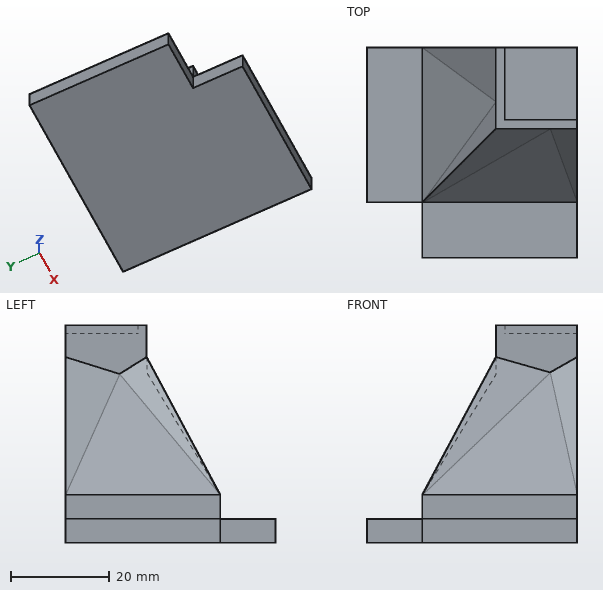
import cadquery as cq


total_height = 44.35
course_height = 4.88
rail_height = 1.6
taper_bottom = 2 * course_height
taper_top = total_height - rail_height - course_height

overall_width = 42.85
tower_width = 31.6
cap_width = 16.6
rail_thickness = 1.8
pad_projection = overall_width - tower_width

front_dent_drop = 3.15
left_dent_drop = 3.45
front_dent_offset = cap_width / 3
left_dent_offset = cap_width * 2 / 3


def corner_block(size_x, size_y, height, base_z, shift_x=0, shift_y=0):
    """Box reaching towards -X and -Y from the point (-shift_x, -shift_y)."""
    return (
        cq.Workplane("XY")
        .box(size_x, size_y, height, centered=False)
        .translate((-size_x - shift_x, -size_y - shift_y, base_z))
    )


def square_corners(width, z):
    """Corners of a square level: back right, back left, front left, front right."""
    return [(0, 0, z), (-width, 0, z), (-width, -width, z), (0, -width, z)]


def polygon_face(points):
    wire = cq.Wire.makePolygon([cq.Vector(*point) for point in points], close=True)
    return cq.Face.makeFromWires(wire)


def edges_of(points):
    """Pairs of neighbouring points round a closed outline."""
    return list(zip(points, points[1:] + points[:1]))


def dented_side(outline, dent):
    """Triangles joining each edge of a four-sided outline to the dent point."""
    return [polygon_face([start, end, dent]) for start, end in edges_of(outline)]


def tapered_body():
    """Taper from plinth to cap: two plain walls and two dented faces."""
    lower = square_corners(tower_width, taper_bottom)
    upper = square_corners(cap_width, taper_top)
    back, left, front, right = [
        [low_start, low_end, high_end, high_start]
        for (low_start, low_end), (high_start, high_end) in zip(edges_of(lower), edges_of(upper))
    ]
    left_dent = (-cap_width, -left_dent_offset, taper_top - left_dent_drop)
    front_dent = (-front_dent_offset, -cap_width, taper_top - front_dent_drop)

    faces = [polygon_face(outline) for outline in (lower, upper, back, right)]
    faces += dented_side(left, left_dent)
    faces += dented_side(front, front_dent)
    return cq.Workplane(cq.Solid.makeSolid(cq.Shell.makeShell(faces)))


plinth = corner_block(tower_width, tower_width, taper_bottom, 0)
left_pad = corner_block(pad_projection, tower_width, course_height, 0, shift_x=tower_width)
front_pad = corner_block(tower_width, pad_projection, course_height, 0, shift_y=tower_width)

cap = corner_block(cap_width, cap_width, total_height - taper_top, taper_top)
recess_width = cap_width - rail_thickness
recess = corner_block(recess_width, recess_width, rail_height, total_height - rail_height)
cap = cap.cut(recess)

result = plinth.union(left_pad).union(front_pad).union(tapered_body()).union(cap)